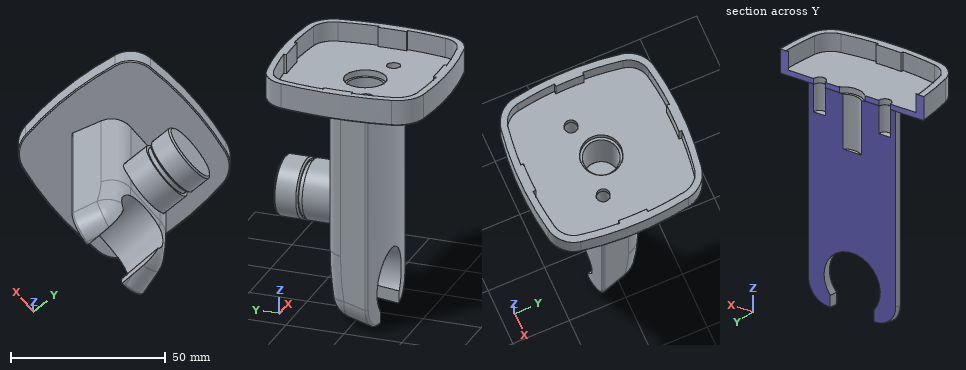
import cadquery as cq
import math

plate_size = 57.58
plate_height = 9.0
plate_side_radius = 110.0
plate_corner_radius = 10.0
plate_bottom_chamfer = 0.4
wall_thickness = 2.4
floor_thickness = 2.2
tab_width = 10.0
tab_depth = 0.95

plate_inlet_diameter = 14.0
arm_inlet_diameter = 12.2
arm_inlet_depth = 20.0
screw_hole_diameter = 4.5
screw_hole_spacing = 26.0
screw_hole_y = -5.0
screw_hole_depth = 10.0

arm_width = 36.1
arm_length = 80.07
arm_front_y = -8.9
arm_back_y = 8.96
arm_front_radius = 100.0
arm_side_draft = math.radians(15.5)
arm_back_edge_radius = 8.2
arm_front_edge_radius = 0.7
arm_tip_corner_radius = 8.4
bend_start_z = -54.9
bend_radius = 100.0
tip_back_z = -78.25

back_edges_min_y = 3.0
selection_margin = 1.0

holder_z = -68.2
holder_front_diameter = 22.7
holder_back_diameter = 20.3
holder_slot_width = 17.3

nozzle_z = -39.7
nozzle_diameter = 20.6
nozzle_end_y = 28.0
nozzle_chamfer = 0.6
groove_diameter = 18.4
groove_start_y = 18.0
groove_end_y = 19.6
nozzle_seat_y = 6.0


def plate_outline(inset):
    """Rounded square with bowed sides, moved inwards by `inset`."""
    half = plate_size / 2 - inset
    side_radius = plate_side_radius - inset
    center_offset = side_radius - half
    corner = (math.sqrt(2 * side_radius**2 - center_offset**2) - center_offset) / 2
    return (
        cq.Workplane("XY")
        .moveTo(corner, corner)
        .threePointArc((0, half), (-corner, corner))
        .threePointArc((-half, 0), (-corner, -corner))
        .threePointArc((0, -half), (corner, -corner))
        .threePointArc((half, 0), (corner, corner))
        .close()
    )


def rounded_block(inset, height):
    return plate_outline(inset).extrude(height).edges("|Z").fillet(plate_corner_radius - inset)


def screw_holes(top_z, depth):
    half = screw_hole_spacing / 2
    return (
        cq.Workplane("XY", origin=(0, screw_hole_y, top_z))
        .pushPoints([(-half, 0), (half, 0)])
        .circle(screw_hole_diameter / 2)
        .extrude(-depth)
    )


def make_plate():
    body = rounded_block(0, plate_height).faces("<Z").edges().chamfer(plate_bottom_chamfer)
    pocket = rounded_block(wall_thickness, plate_height)
    narrowed = rounded_block(wall_thickness + tab_depth, plate_height)
    strips = cq.Workplane("XY").rect(tab_width, plate_size).extrude(plate_height)
    strips = strips.union(cq.Workplane("XY").rect(plate_size, tab_width).extrude(plate_height))
    tabs = strips.cut(narrowed)
    pocket = pocket.cut(tabs).translate((0, 0, floor_thickness))
    inlet = cq.Workplane("XY").circle(plate_inlet_diameter / 2).extrude(floor_thickness)
    return body.cut(pocket).cut(inlet).cut(screw_holes(floor_thickness, floor_thickness))


def arm_section():
    """Upright bar with a domed front, a flat back and sides drafted towards the back."""
    half = arm_width / 2
    sag = arm_front_radius - math.sqrt(arm_front_radius**2 - half**2)
    edge_y = arm_front_y + sag
    back_half = half - (arm_back_y - edge_y) * math.tan(arm_side_draft)
    return (
        cq.Workplane("XY")
        .moveTo(-half, edge_y)
        .threePointArc((0, arm_front_y), (half, edge_y))
        .lineTo(back_half, arm_back_y)
        .lineTo(-back_half, arm_back_y)
        .close()
        .extrude(-arm_length)
    )


def arm_side_profile():
    """Side outline: the back bends forwards near the tip, and the end slopes."""
    bend = math.asin((bend_start_z - tip_back_z) / bend_radius)

    def on_bend(angle):
        drop = bend_radius * (1 - math.cos(angle))
        return (arm_back_y - drop, bend_start_z - bend_radius * math.sin(angle))

    return (
        cq.Workplane("YZ")
        .moveTo(arm_front_y, 0)
        .lineTo(arm_back_y, 0)
        .lineTo(arm_back_y, bend_start_z)
        .threePointArc(on_bend(bend / 2), on_bend(bend))
        .lineTo(arm_front_y, -arm_length)
        .close()
        .extrude(arm_width / 2, both=True)
    )


def make_arm_blank():
    body = arm_section().intersect(arm_side_profile())
    tip_corners = body.faces("<Z").edges("%LINE").edges("not |X")
    return tip_corners.fillet(arm_tip_corner_radius)


def round_arm_edges(body):
    """Round the whole back outline, then the front outline, leaving the top face sharp."""
    back_edges = cq.selectors.BoxSelector(
        (-arm_width / 2, back_edges_min_y, -arm_length),
        (arm_width / 2, arm_back_y + selection_margin, -selection_margin),
    )
    body = body.edges(back_edges).fillet(arm_back_edge_radius)
    return body.faces("<Y").edges("not >Z").fillet(arm_front_edge_radius)


def holder_opening():
    """Cone along Y that narrows towards the back, with a straight slot down to the tip."""
    front_radius = holder_front_diameter / 2
    back_radius = holder_back_diameter / 2
    cone = cq.Solid.makeCone(
        front_radius,
        back_radius,
        arm_back_y - arm_front_y,
        pnt=cq.Vector(0, arm_front_y, holder_z),
        dir=cq.Vector(0, 1, 0),
    )
    slot_length = arm_length + holder_z
    slot = cq.Workplane("XY").box(holder_slot_width, arm_width, slot_length, centered=(True, True, False))
    return slot.translate((0, 0, -arm_length)).union(cq.Workplane(cone))


def nozzle_cylinder(diameter, start_y, end_y):
    return (
        cq.Workplane("XZ", origin=(0, start_y, nozzle_z))
        .circle(diameter / 2)
        .extrude(start_y - end_y)
    )


def make_arm():
    body = round_arm_edges(make_arm_blank())
    inlet = cq.Workplane("XY").circle(arm_inlet_diameter / 2).extrude(-arm_inlet_depth)
    seat = nozzle_cylinder(nozzle_diameter, nozzle_seat_y, nozzle_end_y)
    return body.cut(holder_opening()).cut(inlet).cut(screw_holes(0, screw_hole_depth)).cut(seat)


def make_nozzle():
    base = nozzle_cylinder(nozzle_diameter, nozzle_seat_y, groove_start_y)
    neck = nozzle_cylinder(groove_diameter, groove_start_y, groove_end_y)
    collar = nozzle_cylinder(nozzle_diameter, groove_end_y, nozzle_end_y)
    collar = collar.faces("|Y").edges().chamfer(nozzle_chamfer)
    return base.union(neck).union(collar)


plate = make_plate()
arm = make_arm()
nozzle = make_nozzle()
result = cq.Compound.makeCompound([plate.val(), arm.val(), nozzle.val()])